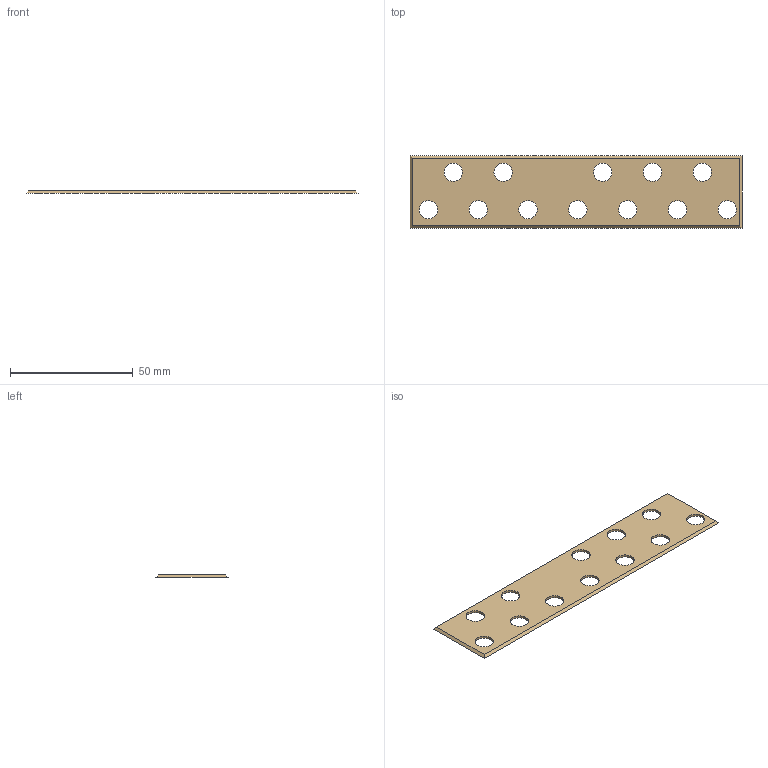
import cadquery as cq

length = 135.5
width = 29.5
thickness = 1.0
bevel = 1.0

hole_diameter = 7.5
hole_pitch = 20.33
pattern_center_x = 0.75
lower_row_inset = 7.5
row_spacing = 15.3
lower_row_y = -width / 2 + lower_row_inset
upper_row_y = lower_row_y + row_spacing

lower_row_steps = [-3, -2, -1, 0, 1, 2, 3]
upper_row_steps = [-2.5, -1.5, 0.5, 1.5, 2.5]


def bevelled_plate():
    """Rectangular plate resting on Z = 0 that tapers inward toward its top face."""
    return (
        cq.Workplane("XY")
        .rect(length, width)
        .workplane(offset=thickness)
        .rect(length - 2 * bevel, width - 2 * bevel)
        .loft(ruled=True)
    )


def row_of_holes(steps, row_y):
    """Cylinders that cut one row of through holes."""
    centers = [(pattern_center_x + step * hole_pitch, row_y) for step in steps]
    return cq.Workplane("XY").pushPoints(centers).circle(hole_diameter / 2).extrude(thickness)


result = (
    bevelled_plate()
    .cut(row_of_holes(lower_row_steps, lower_row_y))
    .cut(row_of_holes(upper_row_steps, upper_row_y))
)